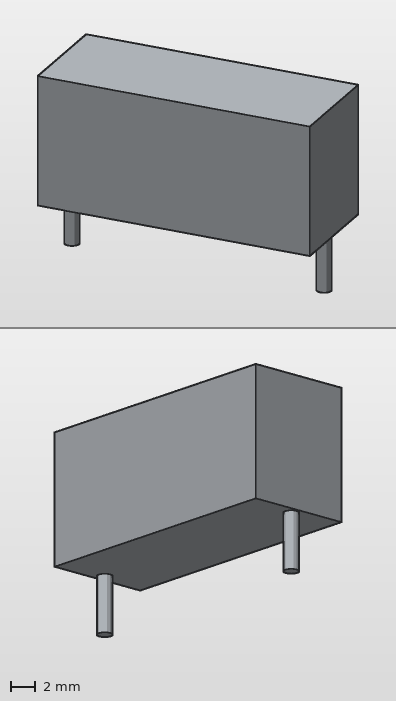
import cadquery as cq

housing_length = 24.4
housing_width = 9.4
housing_height = 11.5

pin_diameter = 1.3
pin_length = 5.0
pin_spacing = 22.6


def make_housing():
    """Rectangular block with its underside at Z = 0."""
    return cq.Workplane("XY").box(
        housing_length, housing_width, housing_height, centered=(True, True, False)
    )


def make_pin(x_position):
    """Round lead that hangs from the underside of the housing."""
    return (
        cq.Workplane("XY")
        .center(x_position, 0)
        .circle(pin_diameter / 2)
        .extrude(-pin_length)
    )


housing = make_housing()

pins = []
for side in (-1, 1):
    pins.append(make_pin(side * pin_spacing / 2).val())

result = cq.Compound.makeCompound([housing.val(), *pins])